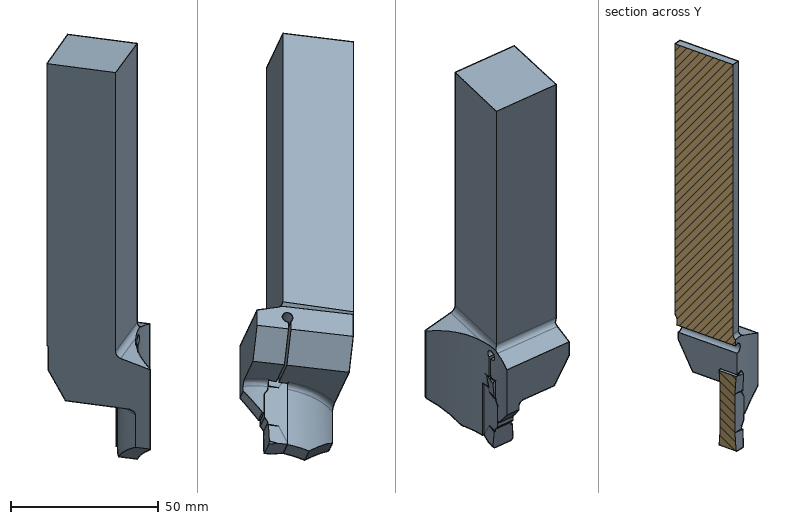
import cadquery as cq
import math

LENGTH = 150.0
SHANK = 24.8
SHANK_DRAFT = 0.3
HEAD_WIDTH = 37.0
HEAD_DEPTH = 33.6
HEAD_BOTTOM = 24.6
HEAD_LEFT = 0.8
RELIEF_TOP = 45.2
RELIEF_BOTTOM = 43.8
BEVEL_TOP = 35.2
BEVEL_END = 6.9
LEDGE_TOP = 43.6
LEDGE_SLOPE = math.tan(math.radians(15))
LEDGE_FILLET = 2.4

RIGHT_AXIS_X = 58.5
RIGHT_AXIS_Y = 25.5
RIGHT_RADIUS = 33.0
LEFT_AXIS_X = 47.7
LEFT_AXIS_Y = 23.2
LEFT_RADIUS = 28.2
BLADE_BOTTOM = 1.2
FRONT_BEVEL_TOP = 10.6
FRONT_BEVEL_END = 10.4
JAW_BOTTOM = 12.6
JAW_BEVEL_TOP = 21.0
JAW_BEVEL_START = 27.3
ROOT_FILLET = 1.8

SLIT_Y = 22.2
SLIT_WIDTH = 0.9
SLIT_HOLE_Y = 23.0
SLIT_HOLE_Z = 39.8
SLIT_HOLE_RADIUS = 1.8

INSERT_X = 22.4
INSERT_Z = 15.0
INSERT_WIDTH = 6.5
INSERT_SEAT_Y = 18.6
INSERT_BACK_Y = 26.7
RAKE_ROOT_Y = 25.5
TIP_Y = 25.2
TIP_CLEARANCE = 0.9
BACK_HALF = 4.6
RAKE_HALF = 6.5
CHEEK_LENGTH = 7.5
TIP_WIDTH = 8.5
CHEEK_ROOT_WIDTH = 7.5
CHEEK_SIDE_RELIEF = 0.14
TIP_CORNER = 0.9


def head_and_shank():
    """Block common to an outline along Y and an outline along X."""
    ledge_right = LEDGE_TOP - (HEAD_WIDTH - SHANK) * LEDGE_SLOPE
    front = (
        cq.Workplane("XZ")
        .moveTo(0, LENGTH)
        .lineTo(SHANK, LENGTH)
        .lineTo(SHANK, LEDGE_TOP)
        .lineTo(HEAD_WIDTH, ledge_right)
        .lineTo(HEAD_WIDTH, HEAD_BOTTOM)
        .lineTo(BEVEL_END, HEAD_BOTTOM)
        .lineTo(HEAD_LEFT, BEVEL_TOP)
        .lineTo(HEAD_LEFT, RELIEF_BOTTOM)
        .lineTo(0, RELIEF_TOP)
        .close()
        .extrude(-HEAD_DEPTH)
    )
    right_corner = cq.selectors.NearestToPointSelector((SHANK, HEAD_DEPTH / 2, LEDGE_TOP))
    front = front.edges(right_corner).fillet(LEDGE_FILLET)
    ledge_back = LEDGE_TOP - (HEAD_DEPTH - SHANK) * LEDGE_SLOPE
    side = (
        cq.Workplane("YZ")
        .moveTo(0, LENGTH)
        .lineTo(SHANK, LENGTH)
        .lineTo(SHANK, LEDGE_TOP)
        .lineTo(HEAD_DEPTH, ledge_back)
        .lineTo(HEAD_DEPTH, HEAD_BOTTOM)
        .lineTo(0, HEAD_BOTTOM)
        .close()
        .extrude(HEAD_WIDTH)
    )
    back_corner = cq.selectors.NearestToPointSelector((HEAD_WIDTH / 2, SHANK, LEDGE_TOP))
    side = side.edges(back_corner).fillet(LEDGE_FILLET)
    return front.intersect(side)


def right_hollow():
    """Cylinder that hollows the right side of the head and blade."""
    return cq.Workplane("XY").center(RIGHT_AXIS_X, RIGHT_AXIS_Y).circle(RIGHT_RADIUS).extrude(LENGTH)


def shank_draft():
    """Thin wedge taken off the left face."""
    corners = [(0, 0), (SHANK_DRAFT, 0), (0, SHANK)]
    return cq.Workplane("XY").polyline(corners).close().extrude(LENGTH)


def blade():
    """Cylindrical wall with a flared root, trimmed to its side outline."""
    outline = (
        cq.Workplane("YZ")
        .moveTo(0, HEAD_BOTTOM)
        .lineTo(0, FRONT_BEVEL_TOP)
        .lineTo(FRONT_BEVEL_END, BLADE_BOTTOM)
        .lineTo(INSERT_SEAT_Y, BLADE_BOTTOM)
        .lineTo(INSERT_SEAT_Y, JAW_BOTTOM)
        .lineTo(JAW_BEVEL_START, JAW_BOTTOM)
        .lineTo(HEAD_DEPTH, JAW_BEVEL_TOP)
        .lineTo(HEAD_DEPTH, HEAD_BOTTOM)
        .close()
        .extrude(HEAD_WIDTH)
    )
    rise = ROOT_FILLET * (1 - math.sqrt(0.5))
    wall = (
        cq.Workplane("XZ")
        .moveTo(0, 0)
        .lineTo(LEFT_RADIUS, 0)
        .lineTo(LEFT_RADIUS, HEAD_BOTTOM - ROOT_FILLET)
        .threePointArc(
            (LEFT_RADIUS + rise, HEAD_BOTTOM - rise),
            (LEFT_RADIUS + ROOT_FILLET, HEAD_BOTTOM),
        )
        .lineTo(0, HEAD_BOTTOM)
        .close()
        .revolve(360, (0, 0, 0), (0, 1, 0))
        .translate((LEFT_AXIS_X, LEFT_AXIS_Y, 0))
    )
    return wall.intersect(outline)


def slit():
    """Slit across the head that ends in a round hole."""
    hole = cq.Workplane("YZ").center(SLIT_HOLE_Y, SLIT_HOLE_Z).circle(SLIT_HOLE_RADIUS).extrude(HEAD_WIDTH)
    gap = cq.Workplane("XY").box(
        HEAD_WIDTH, SLIT_WIDTH, SLIT_HOLE_Z - HEAD_BOTTOM, centered=(False, True, False)
    ).translate((0, SLIT_Y, HEAD_BOTTOM))
    return hole.union(gap)


def insert_outline(width):
    """Lower half of the insert's side outline, centred on X = 0."""
    return (
        cq.Workplane("YZ")
        .moveTo(INSERT_SEAT_Y, TIP_CLEARANCE)
        .lineTo(TIP_Y, 0)
        .lineTo(RAKE_ROOT_Y, INSERT_Z - RAKE_HALF)
        .lineTo(INSERT_BACK_Y, INSERT_Z - BACK_HALF)
        .lineTo(INSERT_BACK_Y, INSERT_Z)
        .lineTo(INSERT_SEAT_Y, INSERT_Z)
        .close()
        .extrude(width / 2, both=True)
    )


def cheek_section(width, z):
    """Cross-section of a cutting end, narrowing towards the seat."""
    back = width / 2
    seat = back - CHEEK_SIDE_RELIEF * (RAKE_ROOT_Y - INSERT_SEAT_Y)
    points = [(-back, RAKE_ROOT_Y), (back, RAKE_ROOT_Y), (seat, INSERT_SEAT_Y), (-seat, INSERT_SEAT_Y)]
    return cq.Wire.makePolygon([cq.Vector(x, y, z) for x, y in points], close=True)


def both_ends(lower):
    """Adds the mirror image above the middle of the insert."""
    return lower.union(lower.mirror("XY", (0, 0, INSERT_Z)))


def insert_half():
    """Lower half of the insert, centred on X = 0."""
    flare = cq.Solid.makeLoft(
        [cheek_section(TIP_WIDTH, 0), cheek_section(CHEEK_ROOT_WIDTH, CHEEK_LENGTH)], True
    )
    cheeks = insert_outline(TIP_WIDTH).intersect(cq.Workplane(obj=flare))
    corners = (
        cq.Workplane("XZ").rect(TIP_WIDTH, 2 * INSERT_Z).extrude(-HEAD_DEPTH)
        .translate((0, 0, INSERT_Z)).edges("|Y and <Z").chamfer(TIP_CORNER)
    )
    return insert_outline(INSERT_WIDTH).union(cheeks).intersect(corners)


def cutting_insert():
    return both_ends(insert_half()).translate((INSERT_X, 0, 0))


def insert_channel():
    """Opening between blade and jaw, right across below the head."""
    below_head = cq.Workplane("XY").box(HEAD_WIDTH, HEAD_DEPTH, HEAD_BOTTOM, centered=False)
    return both_ends(insert_outline(2 * HEAD_WIDTH)).intersect(below_head)


def tool_holder(pocket):
    body = head_and_shank().union(blade())
    for opening in (right_hollow(), shank_draft(), slit(), insert_channel(), pocket):
        body = body.cut(opening)
    return body


insert = cutting_insert()
holder = tool_holder(insert)

result = cq.Compound.makeCompound([*holder.solids().vals(), *insert.solids().vals()])